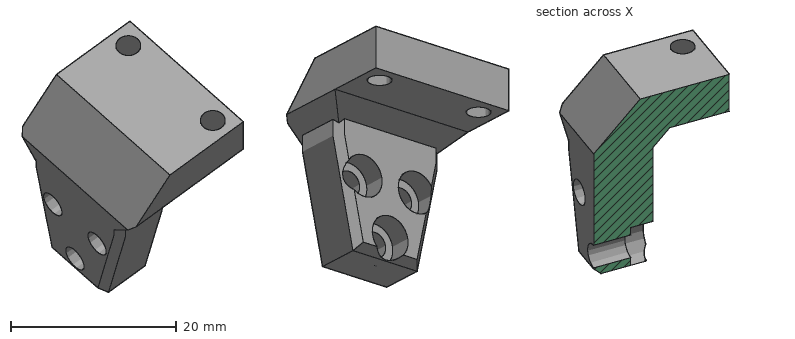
import cadquery as cq


total_height = 24.36
total_depth = 18.25

head_hole_diameter = 3.0
head_hole_spacing = 15.24
head_hole_margin = 2.625
head_thickness = 5.54
front_slope = 6.25

stem_depth = 8.0
stem_chamfer = 1.0
stem_foot_width = 9.9
stem_taper_height = 14.36

flare_overhang = 2.23

screw_diameter = 3.3
screw_head_diameter = 5.5
screw_head_depth = 3.0
upper_screw_spacing = 8.0
lower_screw_height = 2.86
screw_row_spacing = 7.0

head_width = head_hole_spacing + 2 * head_hole_margin
head_underside = total_height - head_thickness
stem_width = head_width - 2 * flare_overhang
flare_height = flare_overhang + stem_chamfer
upper_screw_height = lower_screw_height + screw_row_spacing
screw_positions = [
    (-upper_screw_spacing / 2, upper_screw_height),
    (upper_screw_spacing / 2, upper_screw_height),
    (0, lower_screw_height),
]


def make_head():
    """Flat plate across the top of the part."""
    return cq.Workplane("XY").box(
        head_width, total_depth, head_thickness, centered=(True, False, False)
    ).translate((0, 0, head_underside))


def make_flare():
    """Inverted pyramid shrinking at 45 degrees below the head, flat at the front."""
    flare_depth = stem_depth + flare_overhang
    pyramid = (
        cq.Workplane("XY", origin=(0, 0, head_underside))
        .rect(head_width, 2 * flare_depth)
        .workplane(offset=-flare_height)
        .rect(head_width - 2 * flare_height, 2 * (flare_depth - flare_height))
        .loft(ruled=True)
    )
    rear_half = cq.Workplane("XY").box(
        head_width, total_depth, total_height, centered=(True, False, False)
    )
    return pyramid.intersect(rear_half)


def make_stem():
    """Plate narrowing towards its foot, chamfered around its front and rear faces."""
    outline = [
        (-stem_foot_width / 2, 0),
        (stem_foot_width / 2, 0),
        (stem_width / 2, stem_taper_height),
        (stem_width / 2, head_underside),
        (-stem_width / 2, head_underside),
        (-stem_width / 2, stem_taper_height),
    ]
    stem = cq.Workplane("XZ").polyline(outline).close().extrude(-stem_depth)
    return stem.faces("<Y or >Y").edges().chamfer(stem_chamfer)


def make_front_bevel():
    """Triangular prism that cuts the 45 degree slope along the top front edge."""
    corners = [
        (0, total_height),
        (front_slope, total_height),
        (0, total_height - front_slope),
    ]
    return cq.Workplane("YZ").polyline(corners).close().extrude(head_width / 2, both=True)


def make_head_holes():
    """Vertical holes through the rear corners of the head."""
    hole_y = total_depth - head_hole_margin
    return (
        cq.Workplane("XY", origin=(0, hole_y, head_underside))
        .pushPoints([(-head_hole_spacing / 2, 0), (head_hole_spacing / 2, 0)])
        .circle(head_hole_diameter / 2)
        .extrude(head_thickness)
    )


def make_screw_holes():
    """Through holes in the stem, counterbored from the rear."""
    shanks = (
        cq.Workplane("XZ")
        .pushPoints(screw_positions)
        .circle(screw_diameter / 2)
        .extrude(-stem_depth)
    )
    heads = (
        cq.Workplane("XZ", origin=(0, stem_depth, 0))
        .pushPoints(screw_positions)
        .circle(screw_head_diameter / 2)
        .extrude(screw_head_depth)
    )
    return shanks.union(heads)


body = make_head().union(make_flare()).union(make_stem())
result = body.cut(make_front_bevel()).cut(make_head_holes()).cut(make_screw_holes())